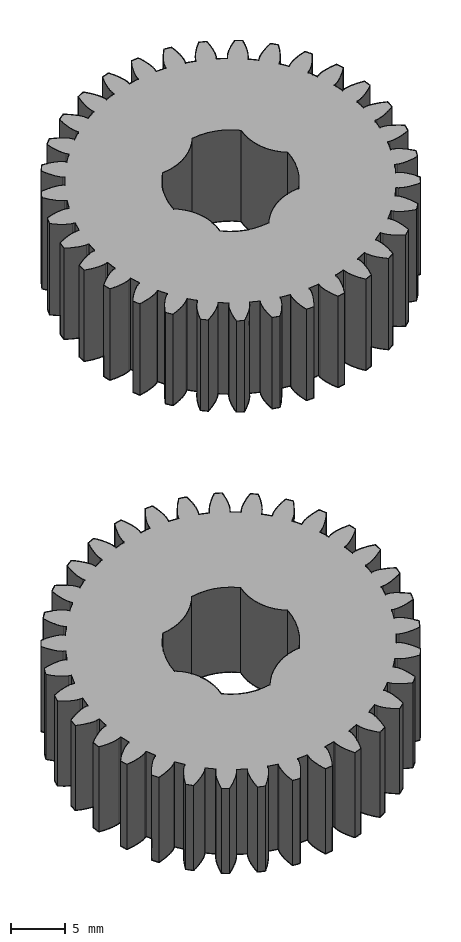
import cadquery as cq
import math


tooth_count = 33
pressure_angle = math.radians(20)
addendum_ratio = 1.0
dedendum_ratio = 1.25
overall_y = 35.0
face_width = 12.5
bore_radius = 6.35
key_count = 4
key_radius = 5.0
key_tip_radius = 5.1
flank_steps = 6


def involute(angle):
    """Involute function of a pressure angle."""
    return math.tan(angle) - angle


def half_tooth_angle(radius_ratio):
    """Half the angle spanned by a tooth at a radius given in pitch radii."""
    local_pressure_angle = math.acos(min(1.0, math.cos(pressure_angle) / radius_ratio))
    half_angle_at_pitch = math.pi / (2 * tooth_count)
    return half_angle_at_pitch + involute(pressure_angle) - involute(local_pressure_angle)


pitch_angle = 2 * math.pi / tooth_count
tip_ratio = 1 + 2 * addendum_ratio / tooth_count
root_ratio = 1 - 2 * dedendum_ratio / tooth_count
tip_half_angle = half_tooth_angle(tip_ratio)
tooth_nearest_y = round(tooth_count / 4) * pitch_angle
corner_from_y = max(0.0, abs(math.pi / 2 - tooth_nearest_y) - tip_half_angle)
tip_radius = overall_y / 2 / math.cos(corner_from_y)
pitch_radius = tip_radius / tip_ratio
base_radius = pitch_radius * math.cos(pressure_angle)
root_radius = pitch_radius * root_ratio
root_half_angle = half_tooth_angle(base_radius / pitch_radius)


def polar(radius, angle):
    return (radius * math.cos(angle), radius * math.sin(angle))


def flank(tooth_angle, side):
    """Points of an involute flank from base circle to tip; side is -1 or +1."""
    points = []
    for step in range(flank_steps + 1):
        radius = base_radius + (tip_radius - base_radius) * step / flank_steps
        half_angle = half_tooth_angle(radius / pitch_radius)
        points.append(polar(radius, tooth_angle + side * half_angle))
    return points


def gear_blank():
    """Toothed disc: radial lines below the base circle, involutes above it."""
    outline = cq.Workplane("XY").moveTo(*polar(root_radius, -root_half_angle))
    for tooth in range(tooth_count):
        angle = tooth * pitch_angle
        rising = flank(angle, -1)
        falling = flank(angle, 1)[::-1]
        next_root = angle + pitch_angle - root_half_angle
        outline = (
            outline.lineTo(*rising[0])
            .spline(rising[1:], includeCurrent=True)
            .threePointArc(polar(tip_radius, angle), falling[0])
            .spline(falling[1:], includeCurrent=True)
            .lineTo(*polar(root_radius, angle + root_half_angle))
            .threePointArc(
                polar(root_radius, angle + pitch_angle / 2),
                polar(root_radius, next_root),
            )
        )
    return outline.close().extrude(face_width)


def bore():
    """Through-hole: a round bore less the four rounded keys."""
    hole = cq.Workplane("XY").circle(bore_radius).extrude(face_width)
    keys = (
        cq.Workplane("XY")
        .polarArray(key_tip_radius + key_radius, 0, 360, key_count)
        .circle(key_radius)
        .extrude(face_width)
    )
    return hole.cut(keys)


result = gear_blank().cut(bore())